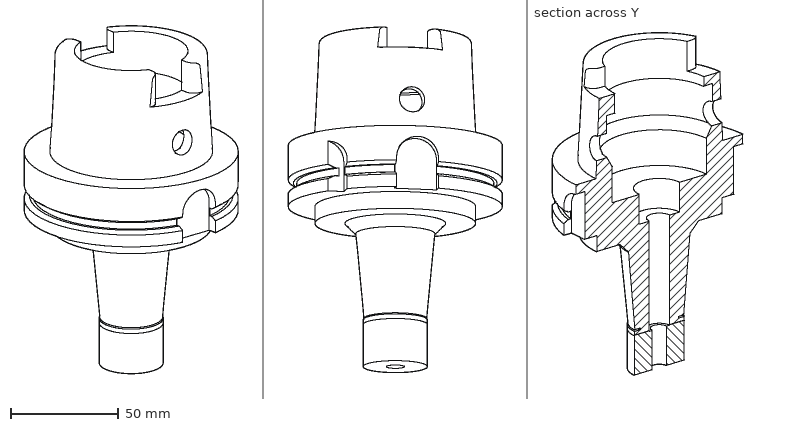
import cadquery as cq


shank_height = 50.0
shank_base_radius = 38.0
shank_taper = 0.05
shank_top_radius = shank_base_radius - shank_taper * shank_height
shank_edge_fillet = 2.0

entry_bore_radius = 26.5
entry_bore_bottom = 30.0
undercut_radius = 31.5
undercut_bottom = 9.5
lower_bore_radius = 28.0
lower_bore_top = 3.5
hollow_floor = -14.5

thread_bore_radius = 12.0
thread_bore_depth = 15.0
coolant_bore_radius = 6.0

notch_width = 20.0
notch_corner_radius = 5.0
notch_flare_x = 32.5
left_notch_depth = 10.0
right_notch_depth = 15.0

cross_hole_radius = 6.0
cross_hole_height = 15.0

flange_radius = 50.0
flange_thickness = 29.0
groove_floor_radius = 46.0
groove_width = 3.75
groove_center = -19.75
groove_bevel_height = 1.5
groove_bevel_depth = 2.5
groove_top = groove_center + groove_width / 2
groove_bottom = groove_center - groove_width / 2

slot_width = 20.0
slot_arc_center = -15.0
drive_slot_floor = 44.5
corner_slot_floor = 31.4
corner_slot_y = corner_slot_floor + slot_width / 2

collar_radius = 37.5
collar_bottom = -37.0
cone_top_radius = 23.5
neck_top_radius = 18.5
neck_top = collar_bottom - (cone_top_radius - neck_top_radius)
neck_bottom_radius = 14.7
relief_radius = 11.5
relief_width = 0.6
end_radius = 15.0
end_disc_thickness = 2.2

overall_length = 155.0
nose_length = 20.0
nose_bore_radius = 4.2
nose_bottom = shank_height - overall_length

holder_bottom = nose_bottom + nose_length
end_disc_top = holder_bottom + end_disc_thickness
neck_bottom = end_disc_top + relief_width


def make_holder_blank():
    """Outside of the holder, without notches, slots or bores."""
    blank = (
        cq.Workplane("XZ")
        .moveTo(0, shank_height)
        .lineTo(shank_top_radius, shank_height)
        .lineTo(shank_base_radius, 0)
        .lineTo(flange_radius, 0)
        .lineTo(flange_radius, groove_top + groove_bevel_height)
        .lineTo(flange_radius - groove_bevel_depth, groove_top)
        .lineTo(groove_floor_radius, groove_top)
        .lineTo(groove_floor_radius, groove_bottom)
        .lineTo(flange_radius - groove_bevel_depth, groove_bottom)
        .lineTo(flange_radius, groove_bottom - groove_bevel_height)
        .lineTo(flange_radius, -flange_thickness)
        .lineTo(collar_radius, -flange_thickness)
        .lineTo(collar_radius, collar_bottom)
        .lineTo(cone_top_radius, collar_bottom)
        .lineTo(neck_top_radius, neck_top)
        .lineTo(neck_bottom_radius, neck_bottom)
        .lineTo(relief_radius, neck_bottom)
        .lineTo(relief_radius, end_disc_top)
        .lineTo(end_radius, end_disc_top)
        .lineTo(end_radius, holder_bottom)
        .lineTo(0, holder_bottom)
        .close()
        .revolve(360, (0, 0, 0), (0, 1, 0))
    )
    return blank.faces(">Z").edges().fillet(shank_edge_fillet)


def make_hollow():
    """Shank hollow and the stepped bore through the holder."""
    thread_bore_bottom = hollow_floor - thread_bore_depth
    return (
        cq.Workplane("XZ")
        .moveTo(0, shank_height)
        .lineTo(entry_bore_radius, shank_height)
        .lineTo(entry_bore_radius, entry_bore_bottom)
        .lineTo(undercut_radius, entry_bore_bottom)
        .lineTo(undercut_radius, undercut_bottom)
        .lineTo(lower_bore_radius, lower_bore_top)
        .lineTo(lower_bore_radius, hollow_floor)
        .lineTo(thread_bore_radius, hollow_floor)
        .lineTo(thread_bore_radius, thread_bore_bottom)
        .lineTo(coolant_bore_radius, thread_bore_bottom)
        .lineTo(coolant_bore_radius, holder_bottom)
        .lineTo(0, holder_bottom)
        .close()
        .revolve(360, (0, 0, 0), (0, 1, 0))
    )


def make_notch(side, depth):
    """Rim notch on the -X (side = -1) or +X (side = 1) wall, flaring outward."""
    half_width = notch_width / 2
    flare_half_width = half_width + notch_corner_radius
    arc_start_x = side * (notch_flare_x - notch_corner_radius)
    flare_x = side * notch_flare_x
    outer_x = side * flange_radius
    return (
        cq.Workplane("XY", origin=(0, 0, shank_height - depth))
        .moveTo(0, -half_width)
        .lineTo(arc_start_x, -half_width)
        .radiusArc((flare_x, -flare_half_width), side * notch_corner_radius)
        .lineTo(flare_x, -flange_radius)
        .lineTo(outer_x, -flange_radius)
        .lineTo(outer_x, flange_radius)
        .lineTo(flare_x, flange_radius)
        .lineTo(flare_x, flare_half_width)
        .radiusArc((arc_start_x, half_width), side * notch_corner_radius)
        .lineTo(0, half_width)
        .close()
        .extrude(depth)
    )


def make_slot(side, floor_distance, center_y):
    """Flange slot cut outward along X, with a round upper end."""
    half_width = slot_width / 2
    return (
        cq.Workplane("YZ", origin=(side * floor_distance, 0, 0))
        .moveTo(center_y - half_width, -flange_thickness)
        .lineTo(center_y - half_width, slot_arc_center)
        .threePointArc((center_y, slot_arc_center + half_width), (center_y + half_width, slot_arc_center))
        .lineTo(center_y + half_width, -flange_thickness)
        .close()
        .extrude(side * flange_radius)
    )


def make_cross_hole():
    """Radial hole along X through both walls of the shank."""
    return (
        cq.Workplane("YZ", origin=(0, 0, cross_hole_height))
        .circle(cross_hole_radius)
        .extrude(flange_radius, both=True)
    )


def make_holder():
    holder = make_holder_blank().cut(make_hollow()).cut(make_cross_hole())
    for side, depth in ((-1, left_notch_depth), (1, right_notch_depth)):
        holder = holder.cut(make_notch(side, depth))
        holder = holder.cut(make_slot(side, drive_slot_floor, 0))
    return holder.cut(make_slot(-1, corner_slot_floor, corner_slot_y))


def make_nose():
    """Plain bored cylinder, flush with the end disc of the holder."""
    return (
        cq.Workplane("XY", origin=(0, 0, nose_bottom))
        .circle(end_radius)
        .circle(nose_bore_radius)
        .extrude(nose_length)
    )


holder = make_holder()
nose = make_nose()
result = cq.Compound.makeCompound([holder.val(), nose.val()])